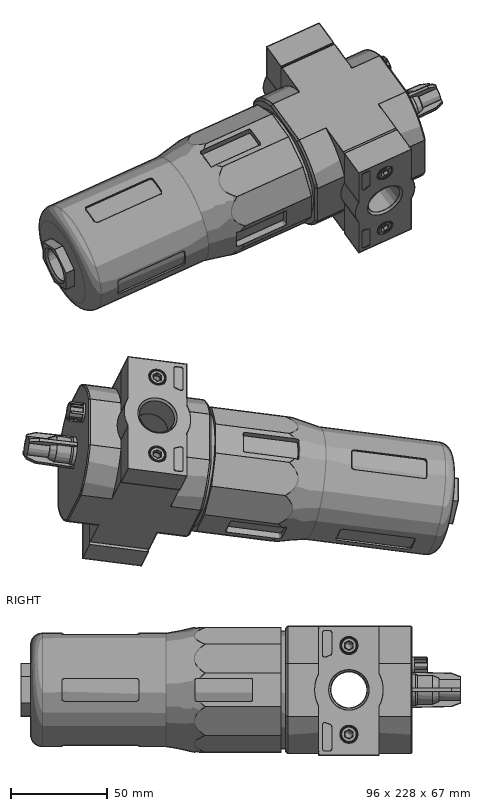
import cadquery as cq
import math


flat_offset = 33.0
housing_dia = 71.5
port_y = 56.0
housing_half_length = 32.8
housing_top_chamfer = 0.7
housing_bottom_chamfer = 1.1
arm_half_width = 15.7
arm_chamfer = 1.1
neck_dia = 61.0
neck_length = 2.3

port_dia = 18.7
port_mouth_dia = 21.0
plate_outer_x = 96.0 / 2
plate_top_z = flat_offset
plate_height = 67.0
port_boss_dia = 35.5
label_depth = 0.2
label_inner_y = 9.0
label_outer_y = 13.7
label_margin = 2.3
label_long_end_z = 16.5
label_short_end_z = 18.2
label_corner_radius = 1.1

screw_spacing = 46.0
screw_head_dia = 8.5
screw_head_length = 5.0
screw_head_chamfer = 0.5
screw_shank_dia = 5.0
screw_shank_length = 18.2
counterbore_dia = 9.3
socket_corner_dia = 5.0
socket_depth = 2.3
socket_cone_dia = 4.0

knob_x = -21.0
knob_z = 12.0
knob_dia = 10.0
knob_core_dia = 8.5
knob_height = 8.0
knob_collar_height = 1.1
knob_chamfer = 0.7
knob_rib_count = 8
knob_rib_width = 1.1
knob_rib_start_angle = 10

dome_top_y = 114.0
dome_tip_dia = 11.0
dome_ring_dia = 12.3
dome_body_dia = 15.0
dome_foot_dia = 16.5
dome_ring_y = 102.8
dome_shoulder_y = 99.5
dome_body_end_y = 91.7
dome_foot_y = 90.7
fin_tip_half_width = 6.8
fin_bevel_half_width = 8.7
fin_base_half_width = 9.1
fin_bevel_length = 4.8
fin_thickness = 1.8

guard_flats = 64.8
guard_facets = 12
guard_dia = 58.8
taper_start_y = -18.5
taper_end_y = -38.8
guard_end_y = -109.0
guard_end_fillet = 6.2
window_width = 11.9
grip_window_top_y = 6.2
grip_window_bottom_y = -23.7
grip_window_floor_dia = 58.8
grip_window_radius = 1.0
bowl_window_top_y = -52.7
bowl_window_bottom_y = -92.8
bowl_window_floor_dia = 56.8
bowl_window_radius = 1.5
hex_flats = 23.7
hex_end_y = -114.0
drain_dia = 18.0
drain_mouth_dia = 20.3
drain_depth = 6.8

housing_top_y = port_y + housing_half_length
housing_bottom_y = port_y - housing_half_length
guard_top_y = housing_bottom_y - neck_length
plate_thickness = plate_outer_x - flat_offset
counterbore_floor_x = plate_outer_x - screw_head_length
screw_tip_x = counterbore_floor_x - screw_shank_length


def across_corners(flats, sides):
    return flats / math.cos(math.pi / sides)


def section_at(y, x=0.0, z=0.0):
    """Workplane at height y facing +Y, centred on (x, z)."""
    return cq.Workplane("XZ", origin=(x, y, z)).workplane(invert=True)


def x_cylinder(dia, x_start, x_end, y=port_y, z=0.0):
    return cq.Workplane("YZ", origin=(x_start, y, z)).circle(dia / 2).extrude(x_end - x_start)


def x_cone(dia_start, dia_end, x_start, x_end, y=port_y, z=0.0):
    return cq.Workplane(cq.Solid.makeCone(
        dia_start / 2, dia_end / 2, x_end - x_start,
        pnt=cq.Vector(x_start, y, z), dir=cq.Vector(1, 0, 0)))


def turned(points):
    """Solid of revolution about Y from (radius, y) points."""
    return cq.Workplane("XY").polyline(points).close().revolve(360, (0, 0), (0, 1))


def mirrored_to_minus_x(body):
    return body.mirror("YZ")


def screw_positions():
    return [screw_spacing / 2, -screw_spacing / 2]


def make_knob():
    """Ribbed adjusting knob standing on the end face of the housing."""
    def post(dia, height):
        return section_at(housing_top_y, knob_x, knob_z).circle(dia / 2).extrude(height)

    ribs = post(knob_core_dia, knob_height)
    for i in range(knob_rib_count):
        angle = knob_rib_start_angle + i * 360 / knob_rib_count
        rib = (
            cq.Workplane("XY")
            .box(knob_rib_width, knob_height, knob_dia / 2, centered=(True, False, False))
            .rotate((0, 0, 0), (0, 1, 0), angle)
            .translate((knob_x, housing_top_y, knob_z))
        )
        ribs = ribs.union(rib)
    envelope = post(knob_dia, knob_height).faces(">Y").chamfer(knob_chamfer)
    return ribs.intersect(envelope).union(post(knob_dia, knob_collar_height))


def make_housing():
    """Flatted cylinder crossed by a square arm, with neck, knob, port and screw holes."""
    cylinder = section_at(housing_bottom_y).circle(housing_dia / 2).extrude(2 * housing_half_length)
    flats = cq.Workplane("XY").box(
        2 * flat_offset, 2 * housing_half_length, 2 * flat_offset).translate((0, port_y, 0))
    drum = cylinder.intersect(flats)
    drum = drum.faces(">Y").chamfer(housing_top_chamfer)
    drum = drum.faces("<Y").chamfer(housing_bottom_chamfer)
    arm = (
        cq.Workplane("XY")
        .box(2 * flat_offset, 2 * arm_half_width, 2 * flat_offset)
        .edges("|Y").chamfer(arm_chamfer)
        .translate((0, port_y, 0))
    )
    neck = section_at(guard_top_y).circle(neck_dia / 2).extrude(neck_length)

    body = drum.union(arm).union(neck).union(make_knob())
    body = body.cut(x_cylinder(port_dia, -flat_offset, flat_offset))
    for z in screw_positions():
        hole = x_cylinder(screw_shank_dia, screw_tip_x, flat_offset, z=z)
        body = body.cut(hole).cut(mirrored_to_minus_x(hole))
    return body


def label_recess(side):
    """Shallow label with one slanted end, above (side=1) or below (side=-1) the port."""
    plate_edge_z = plate_top_z if side > 0 else plate_height - plate_top_z
    far_end = side * (plate_edge_z - label_margin)
    inner_y = port_y - label_inner_y
    outer_y = port_y - label_outer_y
    return (
        cq.Workplane("YZ", origin=(plate_outer_x - label_depth, 0, 0))
        .moveTo(inner_y, far_end)
        .lineTo(outer_y, far_end)
        .lineTo(outer_y, side * label_long_end_z)
        .lineTo(inner_y, side * label_short_end_z)
        .close()
        .extrude(label_depth)
        .edges("|X").fillet(label_corner_radius)
    )


def make_end_plate():
    """Connecting plate on the +X side."""
    plate = (
        cq.Workplane("XY")
        .box(plate_thickness, 2 * arm_half_width, plate_height)
        .translate((flat_offset + plate_thickness / 2, port_y, plate_top_z - plate_height / 2))
    )
    plate = plate.union(x_cylinder(port_boss_dia, flat_offset, plate_outer_x))
    plate = plate.cut(x_cylinder(port_dia, flat_offset, plate_outer_x))
    mouth_depth = (port_mouth_dia - port_dia) / 2
    plate = plate.cut(x_cone(port_dia, port_mouth_dia, plate_outer_x - mouth_depth, plate_outer_x))
    for z in screw_positions():
        plate = plate.cut(x_cylinder(screw_shank_dia, flat_offset, plate_outer_x, z=z))
        plate = plate.cut(x_cylinder(counterbore_dia, counterbore_floor_x, plate_outer_x, z=z))
    return plate.cut(label_recess(1)).cut(label_recess(-1))


def make_screw(z):
    """Socket head screw of the +X plate, its socket ending in a drill point."""
    head = (
        x_cylinder(screw_head_dia, counterbore_floor_x, plate_outer_x, z=z)
        .faces(">X").chamfer(screw_head_chamfer)
    )
    shank = x_cylinder(screw_shank_dia, screw_tip_x, counterbore_floor_x, z=z)
    socket_floor_x = plate_outer_x - socket_depth
    socket = (
        cq.Workplane("YZ", origin=(socket_floor_x, port_y, z))
        .transformed(rotate=(0, 0, 90))
        .polygon(6, socket_corner_dia)
        .extrude(socket_depth)
    )
    drill_point = x_cone(0, socket_cone_dia, socket_floor_x - socket_cone_dia / 2, socket_floor_x, z=z)
    return head.union(shank).cut(socket).cut(drill_point)


def make_sight_dome():
    """Stepped round dome with four tapered fins."""
    core = turned([
        (0, housing_top_y),
        (dome_foot_dia / 2, housing_top_y),
        (dome_foot_dia / 2, dome_foot_y),
        (dome_body_dia / 2, dome_body_end_y),
        (dome_body_dia / 2, dome_shoulder_y),
        (dome_ring_dia / 2, dome_ring_y),
        (dome_tip_dia / 2, dome_ring_y),
        (dome_tip_dia / 2, dome_top_y),
        (0, dome_top_y),
    ])
    fin_pair = (
        cq.Workplane("XY")
        .moveTo(fin_base_half_width, housing_top_y)
        .lineTo(fin_bevel_half_width, dome_top_y - fin_bevel_length)
        .lineTo(fin_tip_half_width, dome_top_y)
        .lineTo(-fin_tip_half_width, dome_top_y)
        .lineTo(-fin_bevel_half_width, dome_top_y - fin_bevel_length)
        .lineTo(-fin_base_half_width, housing_top_y)
        .close()
        .extrude(fin_thickness / 2, both=True)
    )
    return core.union(fin_pair).union(fin_pair.rotate((0, 0, 0), (0, 1, 0), 90))


def window_ring(top_y, bottom_y, floor_dia, corner_radius):
    """Cutters for four rounded windows at 90 degrees, down to a cylindrical floor."""
    length = top_y - bottom_y
    bar = (
        cq.Workplane("XY")
        .box(window_width, length, guard_flats)
        .edges("|Z").fillet(corner_radius)
        .translate((0, bottom_y + length / 2, 0))
    )
    cross = bar.union(bar.rotate((0, 0, 0), (0, 1, 0), 90))
    return cross.cut(section_at(bottom_y).circle(floor_dia / 2).extrude(length))


def make_guard():
    """Bowl guard: twelve-sided grip tapering to a round cup that ends in a hexagon."""
    corner_dia = across_corners(guard_flats, guard_facets)
    round_body = turned([
        (0, guard_top_y),
        (corner_dia / 2, guard_top_y),
        (corner_dia / 2, taper_start_y),
        (guard_dia / 2, taper_end_y),
        (guard_dia / 2, guard_end_y),
        (0, guard_end_y),
    ]).faces("<Y").edges().fillet(guard_end_fillet)
    facets = (
        section_at(guard_end_y)
        .transformed(rotate=(0, 0, 180 / guard_facets))
        .polygon(guard_facets, corner_dia)
        .extrude(guard_top_y - guard_end_y)
    )
    guard = round_body.intersect(facets)
    guard = guard.cut(window_ring(
        grip_window_top_y, grip_window_bottom_y, grip_window_floor_dia, grip_window_radius))
    guard = guard.cut(window_ring(
        bowl_window_top_y, bowl_window_bottom_y, bowl_window_floor_dia, bowl_window_radius))

    hexagon = (
        section_at(hex_end_y)
        .transformed(rotate=(0, 0, 90))
        .polygon(6, across_corners(hex_flats, 6))
        .extrude(guard_end_y - hex_end_y)
    )
    mouth_depth = (drain_mouth_dia - drain_dia) / 2
    drain = turned([
        (0, hex_end_y),
        (drain_mouth_dia / 2, hex_end_y),
        (drain_dia / 2, hex_end_y + mouth_depth),
        (drain_dia / 2, hex_end_y + drain_depth),
        (0, hex_end_y + drain_depth),
    ])
    return guard.union(hexagon).cut(drain)


housing = make_housing()
sight_dome = make_sight_dome()
guard = make_guard()

right_plate = make_end_plate()
end_plates = [right_plate, mirrored_to_minus_x(right_plate)]

screws = []
for screw_z in screw_positions():
    screw = make_screw(screw_z)
    screws += [screw, mirrored_to_minus_x(screw)]

result = cq.Compound.makeCompound([
    housing.val(),
    sight_dome.val(),
    guard.val(),
    *[plate.val() for plate in end_plates],
    *[screw.val() for screw in screws],
])